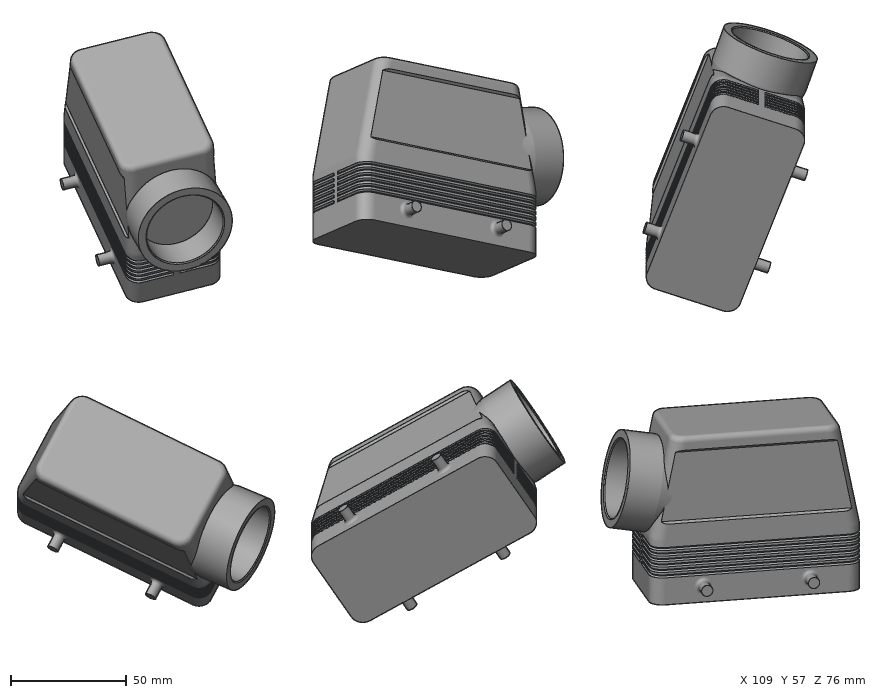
import cadquery as cq
import math

BODY_LENGTH = 93.5
BODY_WIDTH = 43.0
BODY_HEIGHT = 76.0
CORNER_RADIUS = 6.0
TOP_RADIUS = 2.5
KNEE_HEIGHT = 29.7
KNEE_RADIUS = 7.0
KNEE_SEARCH_MARGIN = 1.0
END_LEAN = 11.4

RECESS_DEPTH = 1.0
RECESS_BOTTOM = 36.9
RECESS_TOP = 70.2

GROOVE_COUNT = 6
GROOVE_PITCH = 2.5
GROOVE_DEPTH = 0.7
LOWEST_GROOVE_HEIGHT = 13.1
GROOVE_FLANK_ANGLE = 45.0
END_RIB_WIDTH = 3.0

PIN_DIAMETER = 5.0
PIN_SPACING = 47.5
PIN_HEIGHT = 7.5
PIN_TIP_SPAN = 57.0
PIN_ROOT_RADIUS = 1.5

OVERALL_LENGTH = 108.99
NECK_DIAMETER = BODY_WIDTH
NECK_LENGTH = 15.0
NECK_FACE_HEIGHT = 52.05
NECK_BORE_DIAMETER = 35.0
NECK_BORE_CHAMFER = 0.5
NECK_CHAMFER_ANGLE = 45.0
NECK_CONE_LENGTH = 12.0
NECK_CONE_ANGLE = 10.0


def hood_body():
    half_length = BODY_LENGTH / 2
    lean_offset = (BODY_HEIGHT - KNEE_HEIGHT) * math.tan(math.radians(END_LEAN))
    half_top = half_length - lean_offset
    body = (
        cq.Workplane("XZ")
        .moveTo(-half_length, 0)
        .lineTo(half_length, 0)
        .lineTo(half_length, KNEE_HEIGHT)
        .lineTo(half_top, BODY_HEIGHT)
        .lineTo(-half_top, BODY_HEIGHT)
        .lineTo(-half_length, KNEE_HEIGHT)
        .close()
        .extrude(BODY_WIDTH / 2, both=True)
    )
    at_knee = cq.selectors.BoxSelector(
        (-BODY_LENGTH, -BODY_WIDTH, KNEE_HEIGHT - KNEE_SEARCH_MARGIN),
        (BODY_LENGTH, BODY_WIDTH, KNEE_HEIGHT + KNEE_SEARCH_MARGIN),
    )
    body = body.edges("|Y").edges(at_knee).fillet(KNEE_RADIUS)
    body = body.faces("<Y or >Y").edges("not(<Z or >Z)").fillet(CORNER_RADIUS)
    return body.faces(">Z").edges().fillet(TOP_RADIUS)


def side_recess(side):
    """Cutter for one long side, with 45 degree upper and lower flanks."""
    outer = side * BODY_WIDTH / 2
    inner = outer - side * RECESS_DEPTH
    return (
        cq.Workplane("YZ")
        .moveTo(outer, RECESS_BOTTOM)
        .lineTo(inner, RECESS_BOTTOM + RECESS_DEPTH)
        .lineTo(inner, RECESS_TOP - RECESS_DEPTH)
        .lineTo(outer, RECESS_TOP)
        .close()
        .extrude(BODY_LENGTH, both=True)
    )


def skirt_section(height):
    """Rounded rectangle matching the skirt outline at the given height."""
    sketch = cq.Sketch().rect(BODY_LENGTH, BODY_WIDTH).vertices().fillet(CORNER_RADIUS)
    return cq.Workplane("XY").workplane(offset=height).placeSketch(sketch)


def groove(height):
    """V-shaped ring cutter centred on the given height, broken at both end walls."""
    half_opening = GROOVE_DEPTH * math.tan(math.radians(GROOVE_FLANK_ANGLE))
    lower_flank = skirt_section(height - half_opening).extrude(half_opening, taper=GROOVE_FLANK_ANGLE)
    upper_flank = skirt_section(height + half_opening).extrude(-half_opening, taper=GROOVE_FLANK_ANGLE)
    end_ribs = cq.Workplane("XY").box(BODY_LENGTH, END_RIB_WIDTH, 2 * half_opening)
    return (
        skirt_section(height - half_opening)
        .extrude(2 * half_opening)
        .cut(lower_flank)
        .cut(upper_flank)
        .cut(end_ribs.translate((0, 0, height)))
    )


def locking_pin(x, side):
    """Pin on one long side, with a concave fillet at its root."""
    pin_radius = PIN_DIAMETER / 2
    wall = BODY_WIDTH / 2
    root_end = wall + PIN_ROOT_RADIUS
    arc_offset = PIN_ROOT_RADIUS * (1 - math.sqrt(0.5))
    pin = (
        cq.Workplane("XY")
        .moveTo(0, wall - PIN_ROOT_RADIUS)
        .lineTo(pin_radius + PIN_ROOT_RADIUS, wall - PIN_ROOT_RADIUS)
        .lineTo(pin_radius + PIN_ROOT_RADIUS, wall)
        .threePointArc((pin_radius + arc_offset, wall + arc_offset), (pin_radius, root_end))
        .lineTo(pin_radius, PIN_TIP_SPAN / 2)
        .lineTo(0, PIN_TIP_SPAN / 2)
        .close()
        .revolve(axisStart=(0, 0, 0), axisEnd=(0, 1, 0))
    )
    if side < 0:
        pin = pin.mirror("XZ")
    return pin.translate((x, 0, PIN_HEIGHT))


def neck_plane():
    """Plane on the neck's outer face, its normal pointing out along the neck axis."""
    lean = math.radians(END_LEAN)
    neck_tip_x = OVERALL_LENGTH - BODY_LENGTH / 2
    face_x = neck_tip_x - NECK_DIAMETER / 2 * math.sin(lean)
    return cq.Plane(
        origin=(face_x, 0, NECK_FACE_HEIGHT),
        xDir=(0, 1, 0),
        normal=(math.cos(lean), 0, math.sin(lean)),
    )


def neck():
    outer_face = cq.Workplane(neck_plane())
    barrel = outer_face.circle(NECK_DIAMETER / 2).extrude(-NECK_LENGTH)
    cone = (
        outer_face.workplane(offset=-NECK_LENGTH)
        .circle(NECK_DIAMETER / 2)
        .extrude(-NECK_CONE_LENGTH, taper=NECK_CONE_ANGLE)
    )
    return barrel.union(cone)


def neck_bore():
    """Blind bore as deep as the neck, with a chamfered mouth."""
    bore_radius = NECK_BORE_DIAMETER / 2
    bore = cq.Workplane(neck_plane()).circle(bore_radius).extrude(-NECK_LENGTH)
    mouth = (
        cq.Workplane(neck_plane())
        .circle(bore_radius + NECK_BORE_CHAMFER)
        .extrude(-NECK_BORE_CHAMFER, taper=NECK_CHAMFER_ANGLE)
    )
    return bore.union(mouth)


result = hood_body()
for side in (-1, 1):
    result = result.cut(side_recess(side))
for index in range(GROOVE_COUNT):
    result = result.cut(groove(LOWEST_GROOVE_HEIGHT + index * GROOVE_PITCH))
for side in (-1, 1):
    for pin_x in (-PIN_SPACING / 2, PIN_SPACING / 2):
        result = result.union(locking_pin(pin_x, side))
result = result.union(neck()).cut(neck_bore())